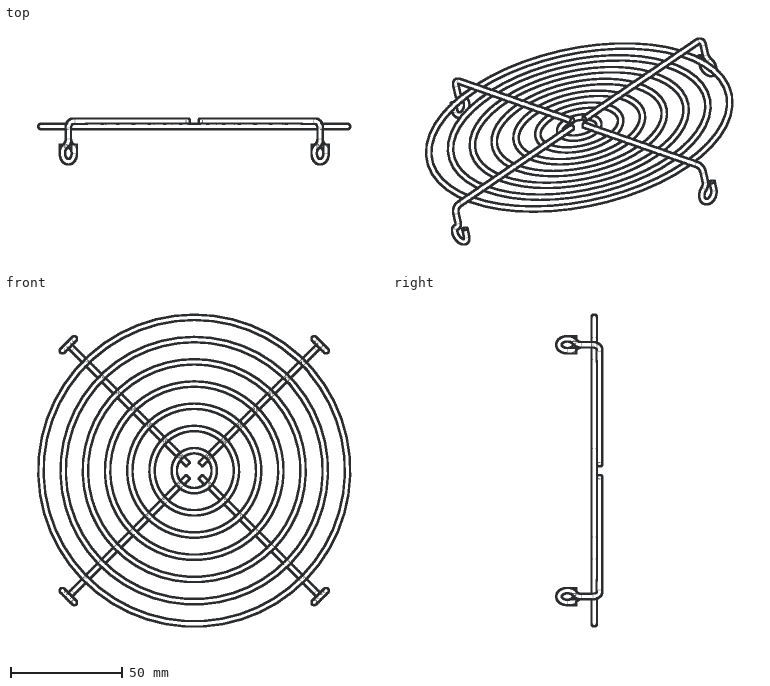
import cadquery as cq
import math


wire_diameter = 2.5
wire_radius = wire_diameter / 2

ring_count = 7
outer_diameter = 140.4
inner_ring_radius = 9.0
outer_ring_radius = outer_diameter / 2 - wire_radius
ring_pitch = (outer_ring_radius - inner_ring_radius) / (ring_count - 1)

weld_depth = 0.1
spoke_y = wire_diameter - weld_depth
spoke_inner_radius = 4.0
leg_radius = 80.0
corner_radius = 3.0

overall_depth = 20.8
eyelet_radius = 3.8
neck_radius = 3.5
tail_length = 4.1
eyelet_y = spoke_y + wire_radius - overall_depth + wire_radius + eyelet_radius
neck_height = math.sqrt(eyelet_radius**2 + 2 * eyelet_radius * neck_radius)
leg_end_y = eyelet_y + neck_height

spoke_angles = [45, 135, 225, 315]


def arc(center, radius, start, end):
    """Arc at constant X; angles in degrees run from -Z towards +Y."""

    def point(angle):
        a = math.radians(angle)
        return center + cq.Vector(0, radius * math.sin(a), -radius * math.cos(a))

    return cq.Edge.makeThreePointArc(point(start), point((start + end) / 2), point(end))


def make_ring(radius):
    return cq.Solid.makeTorus(radius, wire_radius, cq.Vector(0, 0, 0), cq.Vector(0, 1, 0))


def make_spoke(angle):
    """Radial wire, bent forward into a leg that ends in an open eyelet."""
    inner_end = cq.Vector(spoke_inner_radius, spoke_y, 0)
    corner_start = cq.Vector(leg_radius - corner_radius, spoke_y, 0)
    corner_inset = corner_radius * (1 - math.sqrt(0.5))
    corner_middle = cq.Vector(leg_radius - corner_inset, spoke_y - corner_inset, 0)
    corner_end = cq.Vector(leg_radius, spoke_y - corner_radius, 0)
    leg_end = cq.Vector(leg_radius, leg_end_y, 0)

    neck_center = cq.Vector(leg_radius, leg_end_y, neck_radius)
    eyelet_center = cq.Vector(leg_radius, eyelet_y, 0)
    join_angle = math.degrees(math.atan2(neck_height, -neck_radius))
    neck = arc(neck_center, neck_radius, 0, join_angle - 180)
    eyelet = arc(eyelet_center, eyelet_radius, join_angle, 360)

    tail_start = eyelet_center + cq.Vector(0, 0, -eyelet_radius)
    tail_end = tail_start + cq.Vector(0, tail_length, 0)

    path = cq.Wire.assembleEdges([
        cq.Edge.makeLine(inner_end, corner_start),
        cq.Edge.makeThreePointArc(corner_start, corner_middle, corner_end),
        cq.Edge.makeLine(corner_end, leg_end),
        neck,
        eyelet,
        cq.Edge.makeLine(tail_start, tail_end),
    ])
    section = cq.Workplane("YZ", origin=inner_end.toTuple()).circle(wire_radius)
    spoke = section.sweep(cq.Workplane(path))
    return spoke.rotate((0, 0, 0), (0, 1, 0), -angle).val()


rings = [make_ring(inner_ring_radius + i * ring_pitch) for i in range(ring_count)]
grille = cq.Workplane(make_spoke(spoke_angles[0]).fuse(*rings)).solids().val()

spokes = [cq.Workplane(make_spoke(angle).cut(*rings)).solids().val() for angle in spoke_angles[1:]]

result = cq.Compound.makeCompound([grille, *spokes])